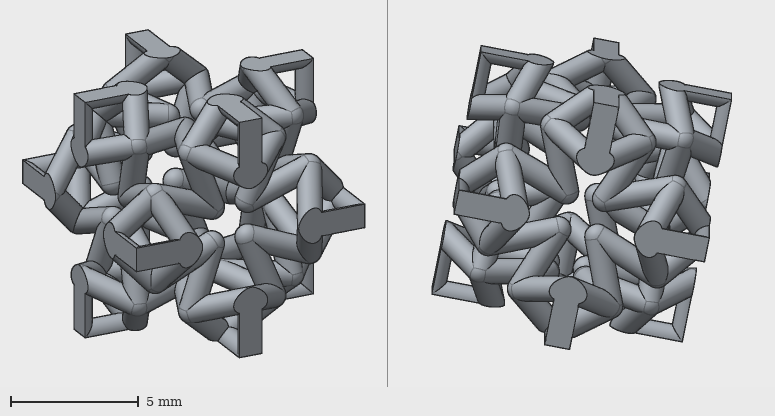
import cadquery as cq
CELL_SIZE = 10.0
STRUT_DIAMETER = 1.0

FACE_NODE_HEIGHT = 2.6
BEND_NEAR = 1.8
BEND_FAR = 3.37
TIP_NEAR = 0.78
TIP_FAR = 3.15

half_size = CELL_SIZE / 2
strut_radius = STRUT_DIAMETER / 2


def strut(start, end):
    """Round bar from node to node."""
    span = end - start
    return cq.Solid.makeCylinder(strut_radius, span.Length, start, span)


def node_ball(center):
    """Ball that rounds the joint of the struts at a node."""
    pole_axis = cq.Vector(1, 0, 0)
    return cq.Solid.makeSphere(strut_radius, center, pole_axis, angleDegrees1=-90, angleDegrees2=90)


def edge_cluster():
    """Struts around the middle of the cell edge that runs along X at +Y, +Z."""
    edge_node = cq.Vector(0, half_size, half_size)
    face_nodes = [
        cq.Vector(0, half_size, FACE_NODE_HEIGHT),
        cq.Vector(0, FACE_NODE_HEIGHT, half_size),
    ]
    pieces = []
    for face_node in face_nodes:
        pieces += [strut(edge_node, face_node), node_ball(face_node)]

    for side in (-1, 1):
        bend = cq.Vector(side * BEND_NEAR, BEND_FAR, BEND_FAR)
        y_tip = cq.Vector(side * TIP_NEAR, TIP_FAR, TIP_NEAR)
        z_tip = cq.Vector(side * TIP_NEAR, TIP_NEAR, TIP_FAR)
        pieces += [strut(face_node, bend) for face_node in face_nodes]
        pieces += [strut(bend, y_tip), strut(bend, z_tip)]
        pieces += [node_ball(bend), node_ball(y_tip)]

    cluster = cq.Workplane(obj=pieces[0].fuse(*pieces[1:]))
    return cluster.intersect(cq.Workplane("XY").box(CELL_SIZE, CELL_SIZE, CELL_SIZE))


def four_parallel_edges(cluster):
    """The cluster and its mirror images on the other three edges along X."""
    upper = [cluster, cluster.mirror("XZ")]
    return upper + [copy.mirror("XY") for copy in upper]


clusters = [
    cluster.rotate((0, 0, 0), (1, 1, 1), turn)
    for cluster in four_parallel_edges(edge_cluster())
    for turn in (0, 120, 240)
]
first_cluster, *other_clusters = [cluster.val() for cluster in clusters]
lattice = first_cluster.fuse(*other_clusters)
result = cq.Workplane(obj=lattice.Solids()[0])